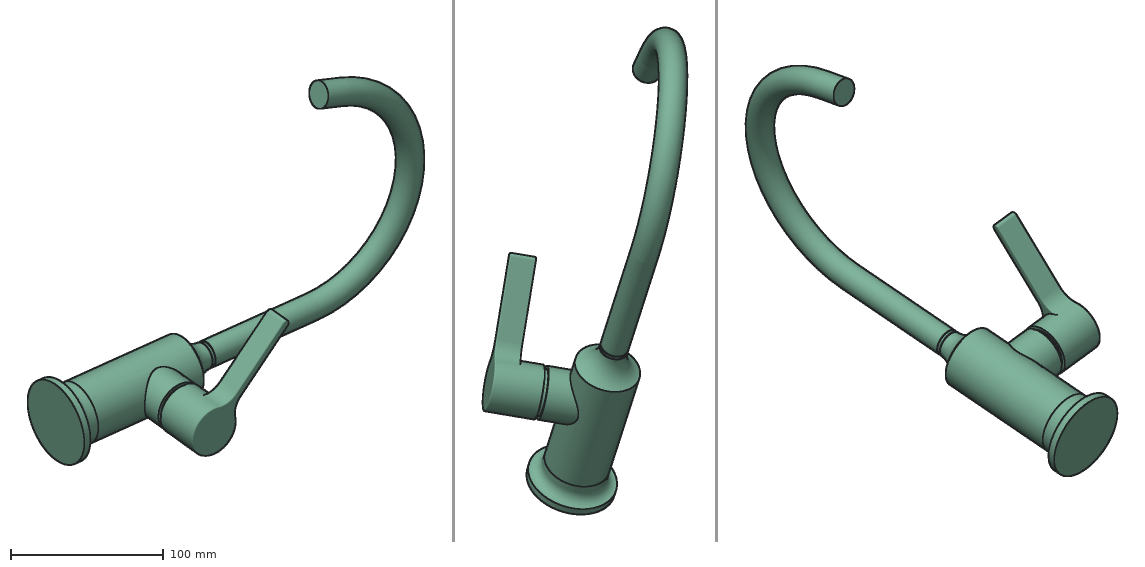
import cadquery as cq
import math

body_radius = 44.0 / 2
spout_radius = 19.0 / 2

flange_radius = 60.0 / 2
flange_thickness = 5.2
base_flare_radius = 7.5
base_height = 18.0

body_end_y = 106.5
shoulder_radius = 18.5
shoulder_drop = body_radius - spout_radius
shoulder_length = math.sqrt(shoulder_radius**2 - (shoulder_radius - shoulder_drop) ** 2)
neck_end_y = body_end_y + shoulder_length

arm_y = 75.0
arm_radius = 36.0 / 2
arm_end_x = 36.5
arm_neck_radius = 31.5 / 2
arm_neck_length = 2.8

hub_start_x = arm_end_x + arm_neck_length
handle_end_x = 73.0
hub_radius = 18.5
lever_width = 17.8
lever_thickness = 5.8
lever_reach = 87.3
lever_angle = 45
lever_root_fillet = 16.2
lever_tip_fillet = 2.8
handle_edge_fillet = 1.0

groove_radius = 18.0 / 2
groove_width = 2.5
bend_start_y = 214.3
bend_radius = 82.5
bend_angle = 162.5
outlet_length = 20.0


def point_on_circle(radius, degrees):
    """Point at an angle on a circle about the origin."""
    angle = math.radians(degrees)
    return radius * math.cos(angle), radius * math.sin(angle)


def revolve_about_y(profile):
    """Turn a closed profile of (radius, y) points about the Y axis."""
    return profile.close().revolve(360, (0, 0, 0), (0, 1, 0))


def arm_cylinder(radius, start_x, end_x):
    """Cylinder on the control arm axis."""
    return (
        cq.Workplane("YZ", origin=(start_x, 0, 0))
        .center(arm_y, 0)
        .circle(radius)
        .extrude(end_x - start_x)
    )


def make_base():
    """Flange with a concave flare up to the body diameter."""
    flare_end_y = flange_thickness + base_flare_radius
    flare_outer = body_radius + base_flare_radius
    dx, dy = point_on_circle(base_flare_radius, 225)
    profile = (
        cq.Workplane("XY")
        .lineTo(flange_radius, 0)
        .lineTo(flange_radius, flange_thickness)
        .lineTo(flare_outer, flange_thickness)
        .threePointArc((flare_outer + dx, flare_end_y + dy), (body_radius, flare_end_y))
        .lineTo(body_radius, base_height)
        .lineTo(0, base_height)
    )
    return revolve_about_y(profile)


def make_body():
    """Round body with its concave shoulder and the stepped control arm."""
    center_radius = spout_radius + shoulder_radius
    sweep = math.degrees(math.asin(shoulder_length / shoulder_radius))
    dx, dy = point_on_circle(shoulder_radius, 180 + sweep / 2)
    profile = (
        cq.Workplane("XY")
        .moveTo(0, base_height)
        .lineTo(body_radius, base_height)
        .lineTo(body_radius, body_end_y)
        .threePointArc((center_radius + dx, neck_end_y + dy), (spout_radius, neck_end_y))
        .lineTo(0, neck_end_y)
    )
    arm = arm_cylinder(arm_radius, 0, arm_end_x)
    arm_neck = arm_cylinder(arm_neck_radius, arm_end_x, hub_start_x)
    return revolve_about_y(profile).union(arm).union(arm_neck)


def make_lever():
    """Flat lever lying along +Y from the hub axis, with flared roots on both faces."""
    half_thickness = lever_thickness / 2
    center_offset = half_thickness + lever_root_fillet
    center_reach = math.sqrt((hub_radius + lever_root_fillet) ** 2 - center_offset**2)
    root_angle = math.degrees(math.asin(center_offset / (hub_radius + lever_root_fillet)))
    hub_y, hub_z = point_on_circle(hub_radius, root_angle)
    dy, dz = point_on_circle(lever_root_fillet, 225 + root_angle / 2)
    mid_y = center_reach + dy
    mid_z = center_offset + dz
    lever = (
        cq.Workplane("YZ", origin=(handle_end_x - lever_width, 0, 0))
        .lineTo(hub_y, hub_z)
        .threePointArc((mid_y, mid_z), (center_reach, half_thickness))
        .lineTo(lever_reach, half_thickness)
        .lineTo(lever_reach, -half_thickness)
        .lineTo(center_reach, -half_thickness)
        .threePointArc((mid_y, -mid_z), (hub_y, -hub_z))
        .close()
        .extrude(lever_width)
    )
    lever = lever.faces(">Y").edges("|X").fillet(lever_tip_fillet)
    lever = lever.faces("<X").edges().fillet(handle_edge_fillet)
    return lever.rotate((0, 0, 0), (1, 0, 0), lever_angle).translate((0, arm_y, 0))


def make_handle():
    """Round hub and lever, with the edges of the outer end face rounded."""
    hub = arm_cylinder(hub_radius, hub_start_x, handle_end_x)
    return hub.union(make_lever()).faces(">X").edges().fillet(handle_edge_fillet)


def make_spout():
    """Straight pipe, long bend and short outlet, with a groove at the body end."""
    pipe_start_y = neck_end_y + groove_width
    bend_center_z = bend_radius
    mid_y, mid_z = point_on_circle(bend_radius, bend_angle / 2 - 90)
    end_y, end_z = point_on_circle(bend_radius, bend_angle - 90)
    outlet_y, outlet_z = point_on_circle(outlet_length, bend_angle)
    path = (
        cq.Workplane("YZ")
        .moveTo(pipe_start_y, 0)
        .lineTo(bend_start_y, 0)
        .threePointArc(
            (bend_start_y + mid_y, bend_center_z + mid_z),
            (bend_start_y + end_y, bend_center_z + end_z),
        )
        .line(outlet_y, outlet_z)
    )
    pipe = cq.Workplane("XZ", origin=(0, pipe_start_y, 0)).circle(spout_radius).sweep(path)
    spigot = cq.Workplane("XZ", origin=(0, pipe_start_y, 0)).circle(groove_radius).extrude(groove_width)
    return pipe.union(spigot)


base = make_base()
body = make_body()
handle = make_handle()
spout = make_spout()

result = cq.Compound.makeCompound([base.val(), body.val(), handle.val(), spout.val()])